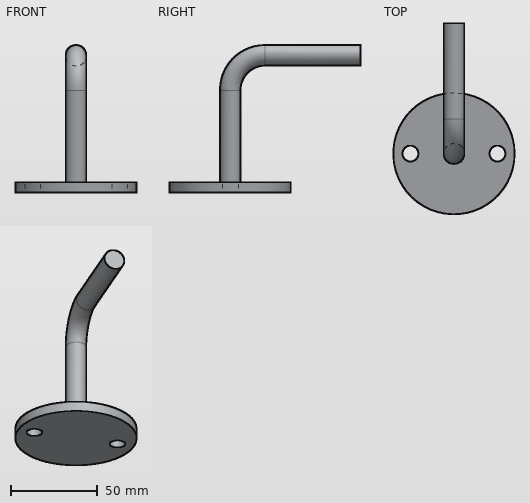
import cadquery as cq

plate_diameter = 70.0
plate_thickness = 6.0
hole_diameter = 9.0
hole_spacing = 50.0

overall_length = 110.0
overall_height = 85.0
rod_diameter = 12.0
bend_radius = 20.0

rod_axis_height = overall_height - rod_diameter / 2
rod_reach = overall_length - plate_diameter / 2


def make_plate():
    """Disc lying on Z = 0 with two through holes along X."""
    return (
        cq.Workplane("XY")
        .circle(plate_diameter / 2)
        .extrude(plate_thickness)
        .faces(">Z")
        .workplane()
        .rarray(hole_spacing, 1.1, 2, 1)
        .hole(hole_diameter)
    )


def make_rod():
    """Rod rising from the plate centre, then bent 90 degrees toward +Y."""
    centreline = (
        cq.Workplane("YZ")
        .lineTo(0, rod_axis_height - bend_radius)
        .radiusArc((bend_radius, rod_axis_height), bend_radius)
        .lineTo(rod_reach, rod_axis_height)
    )
    return cq.Workplane("XY").circle(rod_diameter / 2).sweep(centreline)


result = make_plate().union(make_rod())